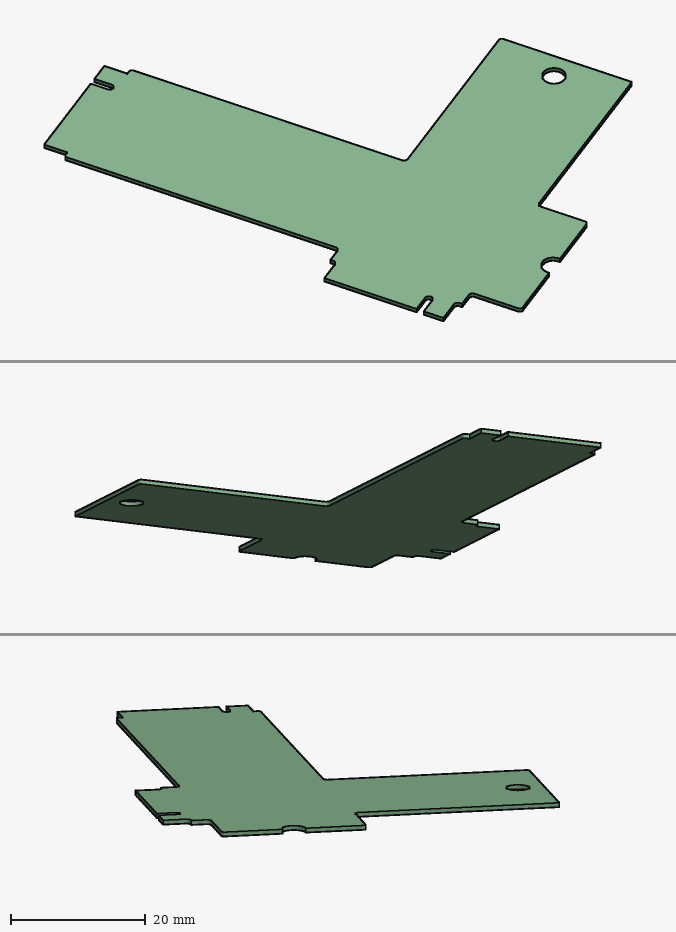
import cadquery as cq

length = 80.0
height = 60.0
thickness = 0.69

arm_width = 21.9
long_arm_bottom = 7.0
long_arm_top = long_arm_bottom + arm_width
cross_arm_left = 49.7
cross_arm_right = cross_arm_left + arm_width

tab_inset = 1.0
left_tab_length = 3.8
bottom_tab_length = 4.1

slot_width = 1.2
slot_offset = 3.3
slot_depth = 3.4

hole_diameter = 3.5
hole_center_y = 56.0
notch_setback = 0.2

outer_radius = 0.5
inner_radius = 0.6

long_arm_center = long_arm_bottom + arm_width / 2
cross_arm_center = cross_arm_left + arm_width / 2


def plate(left, right, bottom, top):
    """Flat rectangle of sheet between the given limits."""
    return (
        cq.Workplane("XY")
        .box(right - left, top - bottom, thickness, centered=False)
        .translate((left, bottom, 0))
    )


def round_corners(body, corners, radius):
    """Round the upright edges standing at the given plan positions."""
    reach = 0.1
    for x, y in corners:
        picker = cq.selectors.BoxSelector(
            (x - reach, y - reach, -reach),
            (x + reach, y + reach, thickness + reach),
        )
        body = body.edges("|Z").edges(picker).fillet(radius)
    return body


def end_slot():
    """Round-ended slot pointing along +X, its open end at the origin."""
    slot_radius = slot_width / 2
    straight = slot_depth - slot_radius
    return (
        cq.Workplane("XY")
        .moveTo(0, -slot_radius)
        .lineTo(straight, -slot_radius)
        .threePointArc((slot_depth, 0), (straight, slot_radius))
        .lineTo(0, slot_radius)
        .close()
        .extrude(thickness)
    )


def edge_notch():
    """U-shaped notch in the right edge."""
    center_x = length - notch_setback
    radius = hole_diameter / 2
    bore = cq.Workplane("XY").center(center_x, long_arm_center).circle(radius).extrude(thickness)
    mouth = plate(center_x, length, long_arm_center - radius, long_arm_center + radius)
    return bore.union(mouth)


left_tab_top = long_arm_top - tab_inset
bottom_tab_right = cross_arm_right - tab_inset
bottom_tab_left = cross_arm_left + tab_inset
body = (
    plate(left_tab_length, length, long_arm_bottom, long_arm_top)
    .union(plate(cross_arm_left, cross_arm_right, bottom_tab_length, height))
    .union(plate(0, left_tab_length, long_arm_bottom + tab_inset, left_tab_top))
    .union(plate(bottom_tab_left, bottom_tab_right, 0, bottom_tab_length))
)

outer_corners = [
    (left_tab_length, long_arm_bottom),
    (left_tab_length, long_arm_top),
    (length, long_arm_bottom),
    (length, long_arm_top),
    (cross_arm_left, height),
]
inner_corners = [
    (x, y)
    for x in (cross_arm_left, cross_arm_right)
    for y in (long_arm_bottom, long_arm_top)
]
tab_roots = [(x, bottom_tab_length) for x in (bottom_tab_left, bottom_tab_right)]
body = round_corners(body, outer_corners, outer_radius)
body = round_corners(body, inner_corners + tab_roots, inner_radius)

slot_inset = slot_offset + slot_width / 2
left_slot = end_slot().translate((0, left_tab_top - slot_inset, 0))
bottom_slot = (
    end_slot()
    .rotate((0, 0, 0), (0, 0, 1), 90)
    .translate((bottom_tab_right - slot_inset, 0, 0))
)

hole = (
    cq.Workplane("XY")
    .center(cross_arm_center, hole_center_y)
    .circle(hole_diameter / 2)
    .extrude(thickness)
)

result = body.cut(left_slot).cut(bottom_slot).cut(hole).cut(edge_notch())